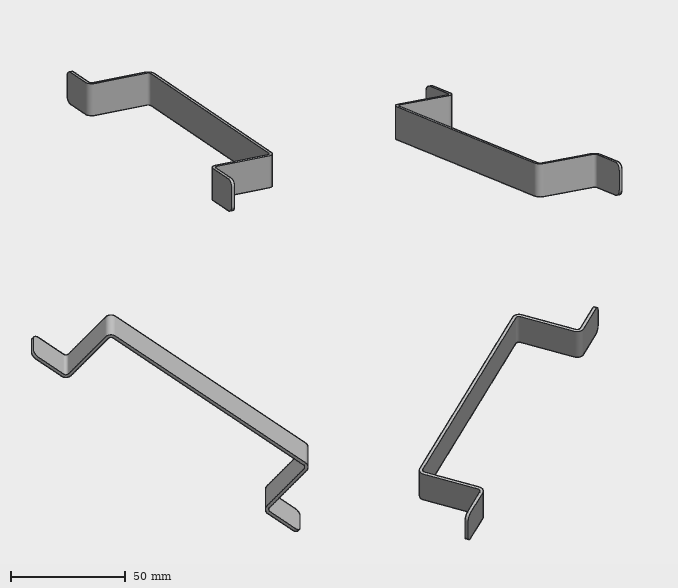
import cadquery as cq

total_length = 150.0
total_depth = 31.5
strip_width = 15.0

thickness = 1.5
inner_bend_radius = 1.5
outer_bend_radius = inner_bend_radius + thickness

flange_length = 20.0
flange_corner_radius = 3.0

half_length = total_length / 2
leg_inner_x = half_length - flange_length
leg_outer_x = leg_inner_x + thickness
front_y = -total_depth / 2
back_y = total_depth / 2


def strip_profile():
    """Sharp-cornered hat profile in the XY plane."""
    right_half = [
        (leg_outer_x, back_y),
        (leg_outer_x, front_y + thickness),
        (half_length, front_y + thickness),
        (half_length, front_y),
        (leg_inner_x, front_y),
        (leg_inner_x, back_y - thickness),
    ]
    left_half = [(-x, y) for x, y in reversed(right_half)]
    return right_half + left_half


def round_bends(body, corners, radius):
    """Fillet the upright edges at the given corners, on both sides of the part."""
    for x, y in corners:
        for side in (-1, 1):
            nearest = cq.selectors.NearestToPointSelector((side * x, y, 0))
            body = body.edges("|Z").edges(nearest).fillet(radius)
    return body


def make_bracket():
    body = cq.Workplane("XY").polyline(strip_profile()).close().extrude(strip_width / 2, both=True)
    outer_corners = [(leg_outer_x, back_y), (leg_inner_x, front_y)]
    inner_corners = [(leg_inner_x, back_y - thickness), (leg_outer_x, front_y + thickness)]
    body = round_bends(body, outer_corners, outer_bend_radius)
    body = round_bends(body, inner_corners, inner_bend_radius)
    flange_ends = body.faces("<X or >X")
    return flange_ends.edges("|Y").fillet(flange_corner_radius)


result = make_bracket()